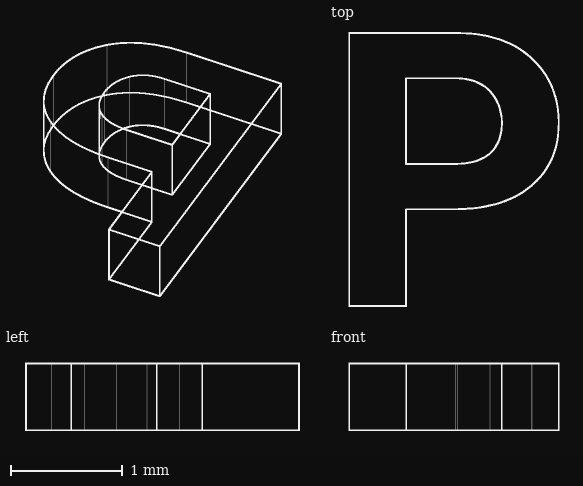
import cadquery as cq

width = 1.88
height = 2.45
thickness = 0.6

stem_width = 0.51
top_bar_width = 0.408
lower_bar_width = 0.408
bowl_bottom_y = 0.868
hole_bottom_y = bowl_bottom_y + lower_bar_width
hole_top_y = height - top_bar_width

bowl_curve_start_x = 0.952
bowl_top_control_x = 1.392
bowl_bottom_control_x = 1.384
bowl_upper_control_y = 1.995
bowl_lower_control_y = 1.286

bowl_mid_y = 1.64
hole_curve_start_x = 0.967
hole_right_x = 1.369
hole_corner_control_x = 1.155
hole_upper_control_y = 1.812
hole_lower_control_y = 1.46


def midpoint(first, second):
    return ((first[0] + second[0]) / 2, (first[1] + second[1]) / 2)


def add_quarter(outline, first_control, second_control, end):
    """Continue the outline with two tangent quadratic curves forming a quarter turn."""
    joint = midpoint(first_control, second_control)
    outline = outline.bezier([first_control, joint], includeCurrent=True)
    return outline.bezier([second_control, end], includeCurrent=True)


def add_round_end(outline, start_x, top_y, bottom_y, right_x, corner_controls, side_controls):
    """Draw the top edge to start_x, then the rounded end down to the bottom edge.

    corner_controls are the X positions of the top and bottom control points,
    side_controls the Y positions of the upper and lower control points.
    """
    top_control_x, bottom_control_x = corner_controls
    upper_control_y, lower_control_y = side_controls
    outline = outline.lineTo(start_x, top_y)
    outline = add_quarter(
        outline,
        (top_control_x, top_y),
        (right_x, upper_control_y),
        (right_x, bowl_mid_y),
    )
    return add_quarter(
        outline,
        (right_x, lower_control_y),
        (bottom_control_x, bottom_y),
        (start_x, bottom_y),
    )


def letter_body():
    """Stem and bowl as one solid plate."""
    outline = cq.Workplane("XY").moveTo(0, 0).lineTo(0, height)
    outline = add_round_end(
        outline,
        bowl_curve_start_x,
        height,
        bowl_bottom_y,
        width,
        (bowl_top_control_x, bowl_bottom_control_x),
        (bowl_upper_control_y, bowl_lower_control_y),
    )
    outline = outline.lineTo(stem_width, bowl_bottom_y).lineTo(stem_width, 0).close()
    return outline.extrude(thickness)


def bowl_hole():
    """Through opening inside the bowl."""
    outline = cq.Workplane("XY").moveTo(stem_width, hole_bottom_y).lineTo(stem_width, hole_top_y)
    outline = add_round_end(
        outline,
        hole_curve_start_x,
        hole_top_y,
        hole_bottom_y,
        hole_right_x,
        (hole_corner_control_x, hole_corner_control_x),
        (hole_upper_control_y, hole_lower_control_y),
    )
    return outline.close().extrude(thickness)


result = letter_body().cut(bowl_hole())